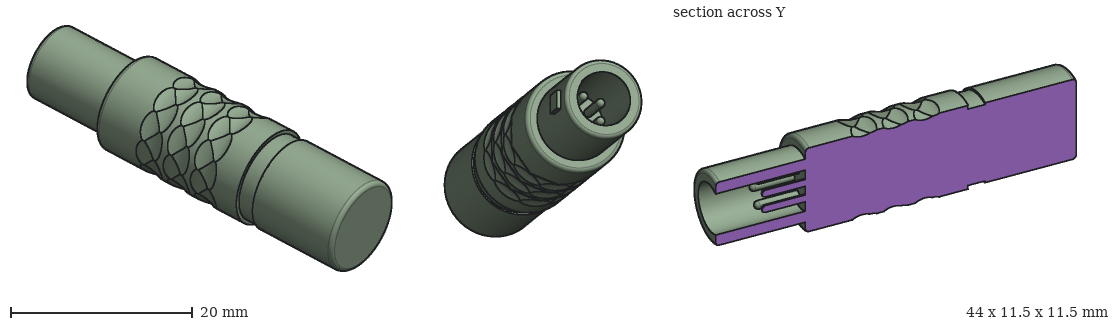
import cadquery as cq
import math

total_length = 44.0
shoulder_x = 10.9
sleeve_end_x = 30.8
rear_start_x = 32.85

plug_radius = 4.45
sleeve_diameter = 11.5
sleeve_radius = sleeve_diameter / 2
neck_radius = 5.3
rear_radius = 5.5

tip_fillet = 0.45
sleeve_fillet = 0.5
rear_fillet = 0.55

bore_radius = 3.05
bore_depth = shoulder_x
pin_count = 5
pin_radius = 0.5
pin_circle_diameter = 3.48
pin_circle_radius = pin_circle_diameter / 2
pin_length = 5.3

key_start_x = 1.65
key_length = 2.65
key_width = 2.05
key_top = 4.9
key_sink = 0.02
key_root = plug_radius - key_sink

band_count = 3
band_pitch = 3.85
first_band_x = 18.3
ring_spacing = 0.85
scallops_per_ring = 10
scallop_half_width = 1.25
scallop_depth = 0.35
scallop_half_length = 2.85
scallop_radius = (scallop_half_width**2 + scallop_depth**2) / (2 * scallop_depth)


def rod(radius, start_x, end_x):
    """Solid cylinder around the X axis between two stations."""
    return cq.Workplane("YZ").workplane(offset=start_x).circle(radius).extrude(end_x - start_x)


def scallop_cutter(x, angle):
    """Cylinder lying across the sleeve, its axis tangential, turned to the given angle."""
    axis_distance = sleeve_radius - scallop_depth + scallop_radius
    return (
        cq.Workplane("XY")
        .center(x, -axis_distance)
        .circle(scallop_radius)
        .extrude(scallop_half_length, both=True)
        .rotate((0, 0, 0), (1, 0, 0), angle)
        .val()
    )


def cut_scallop_ring(sleeve, x, phase):
    """Cut one ring of scallops; every second one is cut together, as neighbours overlap."""
    pitch_angle = 360 / scallops_per_ring
    for first in (0, 1):
        cutters = [scallop_cutter(x, phase + i * pitch_angle) for i in range(first, scallops_per_ring, 2)]
        sleeve = sleeve.cut(cq.Workplane(cq.Compound.makeCompound(cutters)))
    return sleeve


def grip_sleeve():
    """Sleeve with a rounded front edge and the scalloped grip bands cut into it."""
    sleeve = rod(sleeve_radius, shoulder_x, sleeve_end_x).faces("<X").edges().fillet(sleeve_fillet)
    stagger_angle = 180 / scallops_per_ring
    for band in range(band_count):
        band_x = first_band_x + band * band_pitch
        sleeve = cut_scallop_ring(sleeve, band_x - ring_spacing / 2, 0)
        sleeve = cut_scallop_ring(sleeve, band_x + ring_spacing / 2, stagger_angle)
    return sleeve


def turned_body():
    """Plug, grip sleeve, neck and rear barrel joined end to end."""
    plug = rod(plug_radius, 0, shoulder_x).faces("<X").edges().fillet(tip_fillet)
    neck = rod(neck_radius, sleeve_end_x, rear_start_x)
    rear = rod(rear_radius, rear_start_x, total_length).faces(">X").edges().fillet(rear_fillet)
    return plug.union(grip_sleeve()).union(neck).union(rear)


def contact_pins():
    """Pins standing on the bore floor, with full hemispherical tips toward -X."""
    centers = []
    for i in range(pin_count):
        angle = 2 * math.pi * i / pin_count
        centers.append((pin_circle_radius * math.cos(angle), pin_circle_radius * math.sin(angle)))
    shank_length = pin_length - pin_radius
    shank_x = bore_depth - shank_length
    shanks = (
        cq.Workplane("YZ")
        .workplane(offset=shank_x)
        .pushPoints(centers)
        .circle(pin_radius)
        .extrude(shank_length)
    )
    tips = cq.Workplane("YZ").workplane(offset=shank_x).pushPoints(centers).sphere(pin_radius)
    return shanks.union(tips)


def key_tab():
    """Flat block on the +Y side, its underside sunk just enough to join the round plug."""
    return (
        cq.Workplane("XY")
        .box(key_length, key_top - key_root, key_width, centered=(False, False, True))
        .translate((key_start_x, key_root, 0))
    )


body = turned_body().union(key_tab()).cut(rod(bore_radius, 0, bore_depth))
result = body.union(contact_pins())